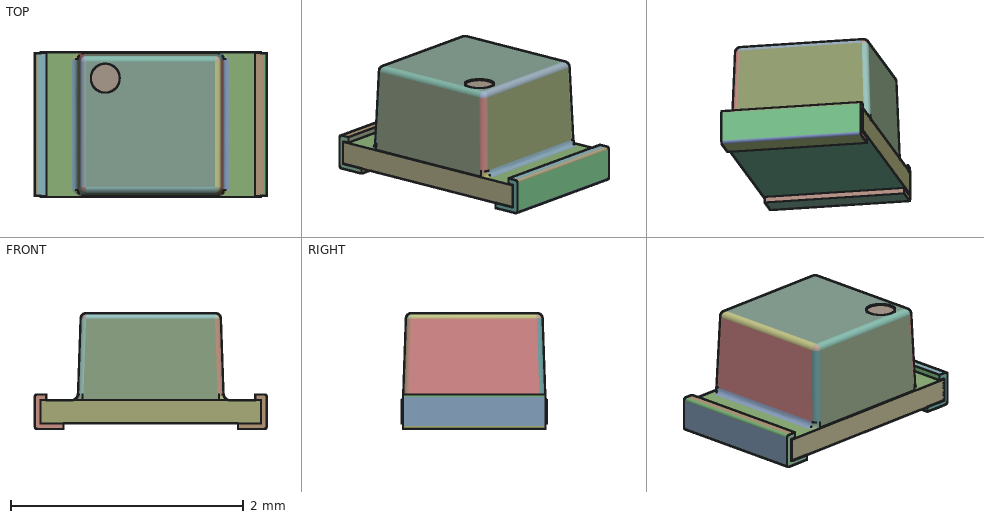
import cadquery as cq
import math

length = 2.0
total_height = 1.0

metal = 0.05
terminal_width = 1.23
terminal_height = 0.3
upper_lip = 0.1
lower_lip = 0.25
terminal_radius = 0.025

board_length = length - 2 * metal
board_width = 1.25
board_bottom = metal
board_top = terminal_height - metal

housing_length = 1.26
housing_width = 1.23
housing_height = total_height - board_top
draft_angle = 2.0
edge_radius = 0.05

foot_height = 0.05
foot_reach = 0.048
arc_handle = 0.56
corner_reaches = [(0, foot_reach), (40, 0.015), (80, 0.005)]

mark_diameter = 0.25
mark_depth = 0.01
mark_x = -0.392
mark_y = 0.4


def mirrored(shape, plane):
    """Return the shape joined with its mirror image."""
    return shape.union(shape.mirror(plane))


def make_terminal():
    """Left terminal: a rounded block with the lip gap cut out."""
    outer = (
        cq.Workplane("XY")
        .box(lower_lip, terminal_width, terminal_height, centered=(False, True, False))
        .translate((-length / 2, 0, 0))
        .edges("|Y and <X")
        .fillet(terminal_radius)
    )
    board_gap = (
        cq.Workplane("XY")
        .box(lower_lip, terminal_width, board_top - board_bottom, centered=(False, True, False))
        .translate((-length / 2 + metal, 0, board_bottom))
    )
    above_lower_lip = (
        cq.Workplane("XY")
        .box(lower_lip, terminal_width, terminal_height, centered=(False, True, False))
        .translate((-length / 2 + upper_lip, 0, board_bottom))
    )
    return outer.cut(board_gap).cut(above_lower_lip)


def make_board():
    return (
        cq.Workplane("XY")
        .box(board_length, board_width, board_top - board_bottom, centered=(True, True, False))
        .translate((0, 0, board_bottom))
    )


def make_housing():
    """Block that narrows upward, rounded on its upright and top edges."""
    return (
        cq.Workplane("XY")
        .workplane(offset=board_top)
        .rect(housing_length, housing_width)
        .extrude(housing_height, taper=draft_angle)
        .edges("not(|X or |Y)")
        .fillet(edge_radius)
        .faces(">Z")
        .edges()
        .fillet(edge_radius)
    )


def foot_section(angle, reach):
    """Concave fillet section, turned about the rounding centre of the left front corner.

    At angle 0 the section is square to the left wall.
    """
    turn = math.radians(angle)
    outward = cq.Vector(-math.cos(turn), -math.sin(turn), 0)
    centre = cq.Vector(edge_radius - housing_length / 2, edge_radius - housing_width / 2, board_top)
    plane = cq.Plane(origin=centre, xDir=outward, normal=outward.cross(cq.Vector(0, 0, 1)))
    lean = math.tan(math.radians(draft_angle)) * (math.cos(turn) + math.sin(turn))
    wall = edge_radius
    toe = wall + reach
    top = wall - foot_height * lean
    inner = edge_radius / 2
    return (
        cq.Workplane(plane)
        .moveTo(inner, 0)
        .lineTo(toe, 0)
        .bezier(
            [
                (toe - arc_handle * reach, 0),
                (wall - (1 - arc_handle) * foot_height * lean, (1 - arc_handle) * foot_height),
                (top, foot_height),
            ],
            includeCurrent=True,
        )
        .lineTo(inner, foot_height)
        .close()
    )


def make_foot():
    """Fillet at the foot of the left wall, narrowing around its two corners."""
    straight = foot_section(0, foot_reach).extrude(housing_width - 2 * edge_radius)
    sections = [foot_section(angle, reach).wire().val() for angle, reach in corner_reaches]
    corner = cq.Workplane(cq.Solid.makeLoft(sections))
    return straight.union(mirrored(corner, "XZ"))


def make_mark():
    return (
        cq.Workplane("XY")
        .workplane(offset=total_height - mark_depth)
        .center(mark_x, mark_y)
        .circle(mark_diameter / 2)
        .extrude(mark_depth)
    )


result = (
    make_board()
    .union(mirrored(make_terminal(), "YZ"))
    .union(make_housing())
    .union(mirrored(make_foot(), "YZ"))
    .cut(make_mark())
)